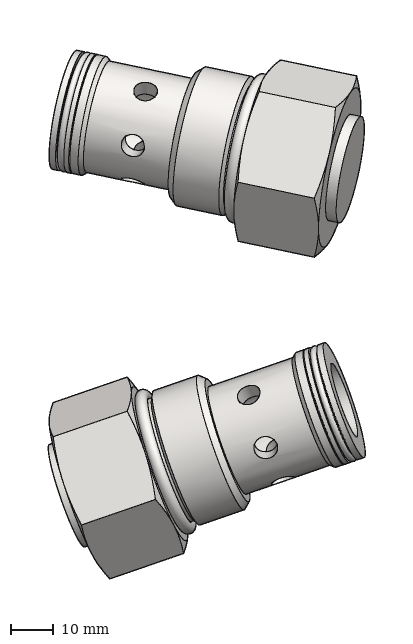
import cadquery as cq
import math


overall_length = 69.1
nose_diameter = 28.45
stem_diameter = 26.7
tail_diameter = 25.4
nose_chamfer_start = 7.05
nose_end = 8.1
bore_diameter = 18.2

seal_groove_start = 1.6
seal_groove_end = 5.05
seal_groove_diameter = 25.85
nose_ring_section = 1.6
nose_ring_inner_diameter = 25.4
nose_ring_start = 1.85
nose_ring_position = nose_ring_start + nose_ring_section / 2
backup_ring_start = 3.6
backup_ring_end = 4.8
backup_ring_diameter = 28.5

port_count = 6
port_diameter = 5.5
port_position = 19.55

fitting_start = 29.1
thread_diameter = 33.3
neck_diameter = 30.4
front_chamfer_length = 1.6
rear_chamfer_start = 41.7
neck_start = 42.5
hex_start = 46.0
hex_end = 66.5
hex_across_flats = 38.1
hex_corner_diameter = hex_across_flats / math.cos(math.pi / 6)
hex_chamfer_length = 1.05

hex_ring_section = 3.0
hex_ring_inner_diameter = 29.7
hex_ring_position = hex_start - hex_ring_section / 2


def revolve_profile(points):
    """Revolve a closed (x, radius) outline around the X axis."""
    return cq.Workplane("XY").polyline(points).close().revolve(360, (0, 0, 0), (1, 0, 0))


def cylinder(start, end, diameter):
    """Cylinder on the X axis between two X positions."""
    return cq.Workplane("YZ", origin=(start, 0, 0)).circle(diameter / 2).extrude(end - start)


def make_o_ring(position, inner_diameter, section):
    """Round-section ring centred on the X axis."""
    centre_radius = (inner_diameter + section) / 2
    return (
        cq.Workplane("XY")
        .center(position, centre_radius)
        .circle(section / 2)
        .revolve(360, (0, -centre_radius, 0), (1, -centre_radius, 0))
    )


def make_stem(seated_ring):
    """Grooved nose with a seat for the ring, ported sleeve and tail through the fitting."""
    nose_radius = nose_diameter / 2
    groove_radius = seal_groove_diameter / 2
    stem_radius = stem_diameter / 2
    tail_radius = tail_diameter / 2
    stem = revolve_profile([
        (0, 0),
        (0, nose_radius),
        (seal_groove_start, nose_radius),
        (seal_groove_start, groove_radius),
        (seal_groove_end, groove_radius),
        (seal_groove_end, nose_radius),
        (nose_chamfer_start, nose_radius),
        (nose_end, stem_radius),
        (fitting_start, stem_radius),
        (fitting_start, tail_radius),
        (overall_length, tail_radius),
        (overall_length, 0),
    ])

    stem = stem.cut(cylinder(0, hex_start, bore_diameter))

    port = (
        cq.Workplane("XY", origin=(port_position, 0, 0))
        .circle(port_diameter / 2)
        .extrude(nose_diameter)
    )
    for index in range(port_count):
        angle = index * 360 / port_count
        stem = stem.cut(port.rotate((0, 0, 0), (1, 0, 0), angle))
    return stem.cut(seated_ring)


def make_hex():
    """Hexagon with corners along Z, conically chamfered at both ends."""
    flat_radius = hex_across_flats / 2
    corner_radius = hex_corner_diameter / 2
    prism = (
        cq.Workplane("YZ", origin=(hex_start, 0, 0))
        .polygon(6, hex_corner_diameter)
        .extrude(hex_end - hex_start)
        .rotate((0, 0, 0), (1, 0, 0), 90)
    )
    envelope = revolve_profile([
        (hex_start, 0),
        (hex_start, flat_radius),
        (hex_start + hex_chamfer_length, corner_radius),
        (hex_end - hex_chamfer_length, corner_radius),
        (hex_end, flat_radius),
        (hex_end, 0),
    ])
    return prism.intersect(envelope)


def make_fitting(seated_ring):
    """Threaded barrel, neck with a seat for the ring, and hex, bored through for the stem tail."""
    thread_radius = thread_diameter / 2
    neck_radius = neck_diameter / 2
    barrel = revolve_profile([
        (fitting_start, 0),
        (fitting_start, neck_radius),
        (fitting_start + front_chamfer_length, thread_radius),
        (rear_chamfer_start, thread_radius),
        (neck_start, neck_radius),
        (hex_start, neck_radius),
        (hex_start, 0),
    ])
    stem_bore = cylinder(fitting_start, hex_end, tail_diameter)
    return barrel.union(make_hex()).cut(stem_bore).cut(seated_ring)


def make_backup_ring():
    """Flat ring in the seal groove, behind the nose O-ring."""
    ring = cylinder(backup_ring_start, backup_ring_end, backup_ring_diameter)
    return ring.cut(cylinder(backup_ring_start, backup_ring_end, seal_groove_diameter))


nose_o_ring = make_o_ring(nose_ring_position, nose_ring_inner_diameter, nose_ring_section)
hex_o_ring = make_o_ring(hex_ring_position, hex_ring_inner_diameter, hex_ring_section)
stem = make_stem(nose_o_ring)
fitting = make_fitting(hex_o_ring)
backup_ring = make_backup_ring()

result = cq.Compound.makeCompound([
    stem.val(),
    fitting.val(),
    backup_ring.val(),
    nose_o_ring.val(),
    hex_o_ring.val(),
])